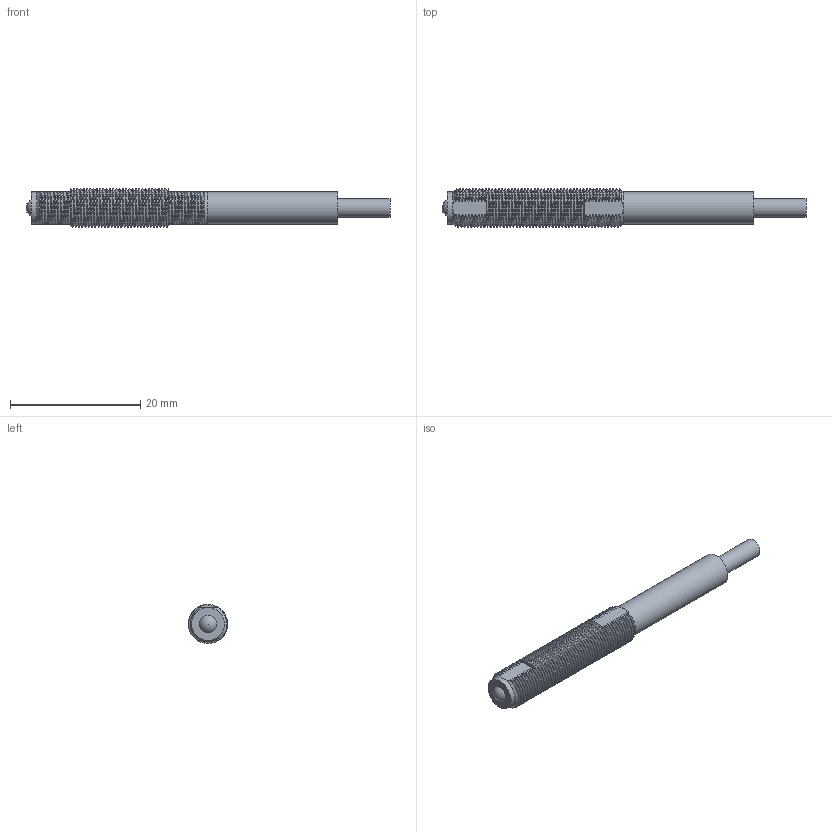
import cadquery as cq
import math

ball_protrusion = 0.8
nose_length = 0.85
threaded_length = 26.15
body_length = 20.0
tail_length = 8.0

ball_diameter = 3.0
body_diameter = 5.0
tail_diameter = 2.9

thread_diameter = 6.0
thread_pitch = 0.5
flank_angle = 30.0
thread_depth = 0.6134 * thread_pitch
crest_width = thread_pitch / 8
first_root_x = 2.06
overrun_turns = 2

front_cone_length = 0.5
rear_cone_length = 0.65

across_flats = 5.0
flat_length = 6.0

nose_face_x = ball_protrusion
thread_start_x = nose_face_x + nose_length
body_start_x = thread_start_x + threaded_length
tail_start_x = body_start_x + body_length
body_radius = body_diameter / 2
thread_radius = thread_diameter / 2
root_radius = thread_radius - thread_depth

flank_width = thread_depth * math.tan(math.radians(flank_angle))
root_width = thread_pitch - crest_width - 2 * flank_width


def rod(start_x, length, diameter):
    """Round bar along X."""
    return cq.Workplane("YZ", origin=(start_x, 0, 0)).circle(diameter / 2).extrude(length)


def revolve_about_x(half_section):
    """Full turn of a closed half section about the X axis."""
    return half_section.close().revolve(360, (0, 0, 0), (1, 0, 0))


def helix_turn(start_x, radius):
    """One right-hand turn of a helix about X."""
    turn = cq.Wire.makeHelix(thread_pitch, thread_pitch, radius, dir=cq.Vector(1, 0, 0))
    return turn.translate(cq.Vector(start_x, 0, 0)).Edges()[0]


def helicoid_cap(start_x):
    """Spiral step surface, one turn long, that spans from the axis to the root helix."""
    axis_edge = cq.Edge.makeLine((start_x, 0, 0), (start_x + thread_pitch, 0, 0))
    return cq.Face.makeRuledSurface(axis_edge, helix_turn(start_x, root_radius))


def radial_cap(start_x, profile):
    """Flat half section, one pitch wide, that closes the step of a helicoid cap."""
    rim = [helix_turn(start_x + offset, radius).startPoint() for offset, radius in profile]
    axis_points = [cq.Vector(start_x + thread_pitch, 0, 0), cq.Vector(start_x, 0, 0)]
    return cq.Face.makeFromWires(cq.Wire.makePolygon(rim + axis_points, close=True))


def threaded_bar():
    """Solid bar with a true helical thread, longer than the thread needed at both ends."""
    profile = [
        (0, root_radius),
        (root_width, root_radius),
        (root_width + flank_width, thread_radius),
        (root_width + flank_width + crest_width, thread_radius),
        (thread_pitch, root_radius),
    ]
    start_x = first_root_x - overrun_turns * thread_pitch
    turns = math.ceil(threaded_length / thread_pitch) + 2 * overrun_turns
    faces = []
    for cap_x in (start_x, start_x + turns * thread_pitch):
        faces.append(helicoid_cap(cap_x))
        faces.append(radial_cap(cap_x, profile))
    for turn in range(turns):
        turn_x = start_x + turn * thread_pitch
        for (offset_a, radius_a), (offset_b, radius_b) in zip(profile, profile[1:]):
            edge_a = helix_turn(turn_x + offset_a, radius_a)
            edge_b = helix_turn(turn_x + offset_b, radius_b)
            faces.append(cq.Face.makeRuledSurface(edge_a, edge_b))
    return cq.Workplane(cq.Solid.makeSolid(cq.Shell.makeShell(faces)))


def flat_cutter(start_x, side):
    """Block that leaves a flat on the top (side = 1) or bottom (side = -1)."""
    height = thread_radius
    width = 2 * thread_diameter
    center = (start_x + flat_length / 2, 0, side * (across_flats + height) / 2)
    return cq.Workplane("XY", origin=center).box(flat_length, width, height)


def thread_envelope():
    """Bar wider than the thread, with coned ends and a pair of flats at each end."""
    cone_height = thread_radius - body_radius
    envelope_radius = thread_radius + thread_pitch
    cone_scale = (envelope_radius - body_radius) / cone_height
    envelope = revolve_about_x(
        cq.Workplane("XY")
        .moveTo(thread_start_x, 0)
        .lineTo(thread_start_x, body_radius)
        .lineTo(thread_start_x + cone_scale * front_cone_length, envelope_radius)
        .lineTo(body_start_x - cone_scale * rear_cone_length, envelope_radius)
        .lineTo(body_start_x, body_radius)
        .lineTo(body_start_x, 0)
    )
    for start_x in (nose_face_x, body_start_x - flat_length):
        for side in (1, -1):
            envelope = envelope.cut(flat_cutter(start_x, side))
    return envelope


def nose():
    """Plain nose with the spring ball showing through its front face."""
    ball_radius = ball_diameter / 2
    half_angle = math.acos(1 - ball_protrusion / ball_radius)
    rim_radius = ball_radius * math.sin(half_angle)
    arc_middle = (
        ball_radius * (1 - math.cos(half_angle / 2)),
        ball_radius * math.sin(half_angle / 2),
    )
    return revolve_about_x(
        cq.Workplane("XY")
        .threePointArc(arc_middle, (nose_face_x, rim_radius))
        .lineTo(nose_face_x, body_radius)
        .lineTo(thread_start_x, body_radius)
        .lineTo(thread_start_x, 0)
    )


def shank():
    """Plain body and the thinner tail behind it."""
    body = rod(body_start_x, body_length, body_diameter)
    return body.union(rod(tail_start_x, tail_length, tail_diameter))


thread = threaded_bar().intersect(thread_envelope())
result = thread.union(shank()).union(nose()).solids()